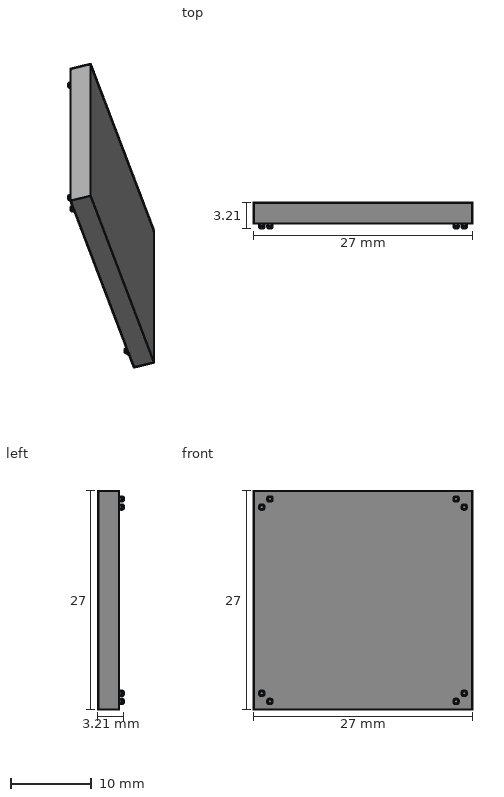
import cadquery as cq

plate_side = 27.0
plate_thickness = 2.6

overall_depth = 3.21
ball_height = overall_depth - plate_thickness
ball_radius = 0.335
ball_foot_radius = 0.27
near_edge_inset = 1.0
far_edge_inset = 2.0

ball_waist_height = ball_height - ball_radius
near_offset = plate_side / 2 - near_edge_inset
far_offset = plate_side / 2 - far_edge_inset


def make_plate():
    """Plate with its front face on Y = 0 and its back toward +Y."""
    return cq.Workplane("XY").box(
        plate_side, plate_thickness, plate_side, centered=(True, False, True)
    )


def make_ball(x, z):
    """Hemispherical tip on a rounded flank that narrows to the foot on the front face."""
    flank_inset = ball_radius - ball_foot_radius
    flank_radius = (flank_inset**2 + ball_waist_height**2) / (2 * flank_inset)
    half_profile = (
        cq.Workplane("XY")
        .lineTo(ball_foot_radius, 0)
        .radiusArc((ball_radius, -ball_waist_height), -flank_radius)
        .radiusArc((0, -ball_height), ball_radius)
        .close()
    )
    ball = half_profile.revolve(360, (0, 0, 0), (0, 1, 0))
    return ball.translate((x, 0, z))


def ball_centers():
    """Two (x, z) positions per corner, mirrored across the corner diagonal."""
    centers = []
    for x_sign in (-1, 1):
        for z_sign in (-1, 1):
            centers.append((x_sign * near_offset, z_sign * far_offset))
            centers.append((x_sign * far_offset, z_sign * near_offset))
    return centers


result = make_plate()
for ball_x, ball_z in ball_centers():
    result = result.union(make_ball(ball_x, ball_z))